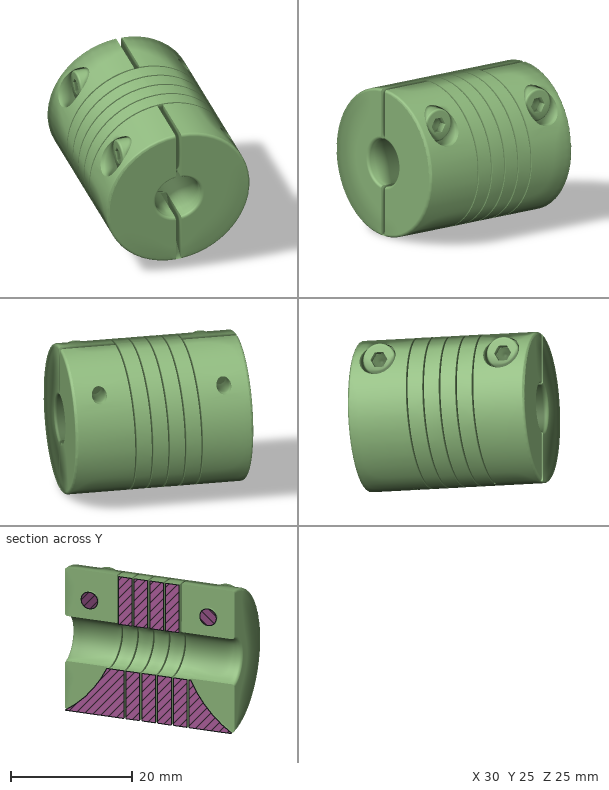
import cadquery as cq
import math

body_length = 30.0
body_diameter = 25.0
bore_diameter = 8.0
rim_fillet = 0.45

slot_turns = 5
slot_pitch = 2.8
slot_width = 0.3

slit_width = 1.0
saw_radius = 20.0
saw_height = 4.45

screw_end_distance = 4.5
screw_height = 7.5
shank_diameter = 3.0
shank_length = 12.0
head_diameter = 5.5
head_length = 3.0
head_fillet = 0.33
head_top = -9.0
socket_width = 2.5
socket_depth = 1.3
socket_tip_height = 0.72
counterbore_diameter = 6.0
tail_hole_diameter = 2.5

body_radius = body_diameter / 2
bore_radius = bore_diameter / 2
half_length = body_length / 2
slot_length = slot_turns * slot_pitch
slit_end = (slot_length - slot_pitch) / 2
screw_x = half_length - screw_end_distance
head_seat = head_top + head_length
screw_tip = head_seat + shank_length

overcut = 0.6


def along_y(diameter, x, start, end):
    """Cylinder parallel to Y at the screw height, from y = start to y = end."""
    return (
        cq.Workplane("XZ", origin=(x, start, screw_height))
        .circle(diameter / 2)
        .extrude(start - end)
    )


def make_blank():
    """Bored cylinder with rounded outer and bore rims."""
    blank = (
        cq.Workplane("XZ")
        .moveTo(-half_length, bore_radius)
        .rect(body_length, body_radius - bore_radius, centered=False)
        .revolve(360, (0, 0, 0), (1, 0, 0))
    )
    return blank.faces("<X or >X").edges("%CIRCLE").fillet(rim_fillet)


def make_helical_slot():
    """Rectangular cut swept along a helix, starting and ending at the bottom of the body."""
    inner = bore_radius - overcut
    outer = body_radius + overcut
    middle = (inner + outer) / 2
    path = cq.Workplane(cq.Wire.makeHelix(slot_pitch, slot_length, middle))
    slot = (
        cq.Workplane("XZ", origin=(middle, 0, 0))
        .rect(outer - inner, slot_width)
        .sweep(path, isFrenet=True)
    )
    return slot.rotate((0, 0, 0), (0, 1, 0), 90).translate((-slot_length / 2, 0, 0))


def make_slit():
    """Cut for the -X end: a straight wall that runs into the arc of the saw, and out at the bottom."""
    saw_x = -slit_end - saw_radius
    start = -half_length - overcut
    top = body_radius + overcut
    start_z = saw_height - math.sqrt(saw_radius**2 - (start - saw_x) ** 2)
    middle_angle = math.atan2(start_z - saw_height, start - saw_x) / 2
    arc_middle = (
        saw_x + saw_radius * math.cos(middle_angle),
        saw_height + saw_radius * math.sin(middle_angle),
    )
    return (
        cq.Workplane("XZ")
        .moveTo(start, top)
        .lineTo(-slit_end, top)
        .lineTo(-slit_end, saw_height)
        .threePointArc(arc_middle, (start, start_z))
        .close()
        .extrude(slit_width / 2, both=True)
    )


def make_body():
    """Flexible clamp coupling with the screw holes."""
    slit = make_slit()
    body = make_blank().cut(make_helical_slot())
    body = body.cut(slit).cut(slit.mirror("YZ"))
    for x in (-screw_x, screw_x):
        body = body.cut(along_y(counterbore_diameter, x, -body_radius, head_seat))
        body = body.cut(along_y(shank_diameter, x, head_seat, screw_tip))
        body = body.cut(along_y(tail_hole_diameter, x, screw_tip, body_radius))
    return body


def make_screw(x):
    """Socket head cap screw; the hexagon socket ends in a cone."""
    head = along_y(head_diameter, x, head_top, head_seat).faces("<Y").edges().fillet(head_fillet)
    shank = along_y(shank_diameter, x, head_seat, screw_tip)
    socket_corners = socket_width / math.cos(math.pi / 6)
    socket = (
        cq.Workplane("XZ", origin=(x, head_top, screw_height))
        .polygon(6, socket_corners)
        .extrude(-socket_depth)
    )
    tip = cq.Workplane(
        cq.Solid.makeCone(
            socket_width / 2,
            0,
            socket_tip_height,
            pnt=cq.Vector(x, head_top + socket_depth, screw_height),
            dir=cq.Vector(0, 1, 0),
        )
    )
    return head.union(shank).cut(socket).cut(tip)


body = make_body()
screws = [make_screw(x) for x in (-screw_x, screw_x)]

result = cq.Compound.makeCompound([body.val(), *[screw.val() for screw in screws]])